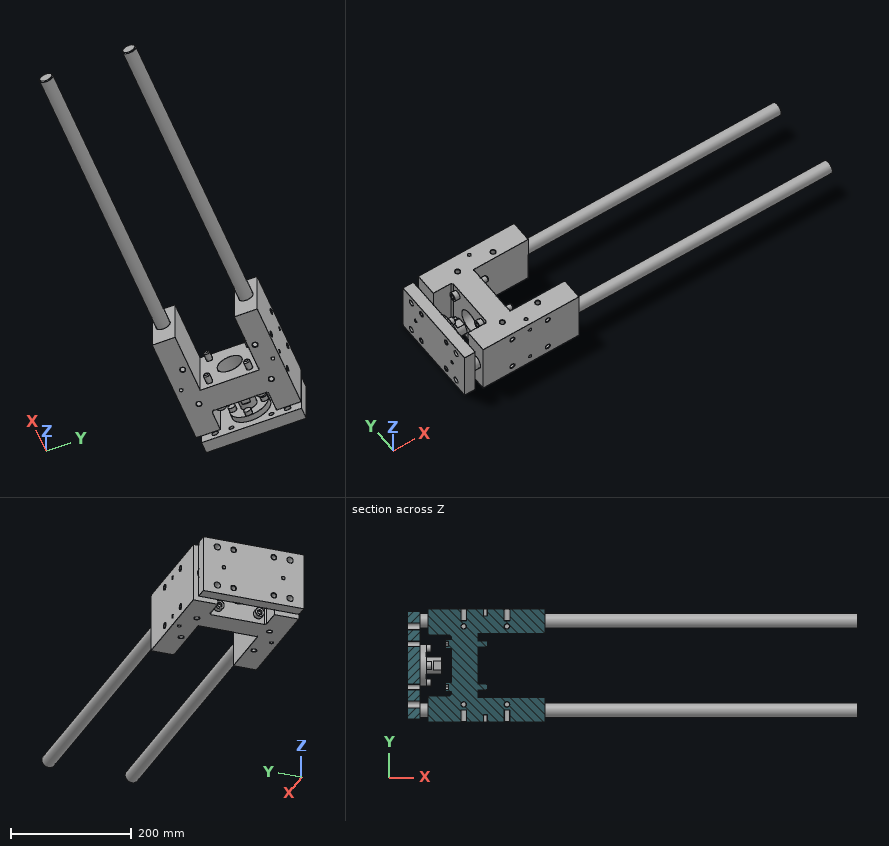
import cadquery as cq


total_length = 751.0
plate_thickness = 21.5
plate_width = 180.0
plate_height = 102.0
plate_clearance_dia = 11.0
plate_clearance_y = 65.0
plate_dowel_y = 53.0
plate_dowel_depth = 10.0

rod_dia = 25.0
rod_y = 74.5
rod_chamfer = 1.5

flange_dia = 70.0
flange_thickness = 10.5
flange_bolt_head_dia = 13.0
flange_bolt_head_height = 8.0
flange_bolt_radius = 28.5
coupling_dia = 29.0
coupling_end_x = 57.5
coupling_flat_length = 14.0
coupling_across_flats = 25.0

housing_x = 34.5
housing_length = 195.0
housing_width = 189.0
housing_height = 105.0
web_front_x = 73.0
web_back_x = 118.0
front_gap_width = 101.0
back_gap_width = 106.0
front_gap_chamfer = 3.0
web_bore_dia = 45.0

screw_dia = 11.0
screw_tip_chamfer = 2.0
screw_protrusion = 16.0
screw_head_dia = 16.0
screw_head_height = 9.5
socket_across_flats = 8.0
socket_depth = 5.0

hole_pitch = 72.0
half_pitch = hole_pitch / 2
pattern_x = 130.0
tapped_dia = 8.5
tapped_mouth_dia = 10.0
tapped_depth = 20.0
dowel_dia = 6.0
dowel_depth = 12.0
housing_tapped_y = 65.0
housing_dowel_y = 82.5


def cylinder(dia, length, start, direction):
    return cq.Workplane(cq.Solid.makeCylinder(dia / 2, length, cq.Vector(*start), cq.Vector(*direction)))


def x_cylinder(dia, x_start, x_end, y=0.0, z=0.0):
    return cylinder(dia, x_end - x_start, (x_start, y, z), (1, 0, 0))


def x_box(x_start, x_end, width, height):
    return cq.Workplane("XY").box(x_end - x_start, width, height).translate(((x_start + x_end) / 2, 0, 0))


def tapped_hole(start, direction, depth):
    """Drilled hole with a countersunk mouth."""
    mouth_depth = (tapped_mouth_dia - tapped_dia) / 2
    mouth = cq.Solid.makeCone(
        tapped_mouth_dia / 2, tapped_dia / 2, mouth_depth, cq.Vector(*start), cq.Vector(*direction)
    )
    return cylinder(tapped_dia, depth, start, direction).union(cq.Workplane(mouth))


def corners(y, z):
    return [(side_y * y, side_z * z) for side_y in (-1, 1) for side_z in (-1, 1)]


def make_slider():
    slider = x_box(0, plate_thickness, plate_width, plate_height)

    for y, z in corners(plate_clearance_y, half_pitch):
        slider = slider.cut(x_cylinder(plate_clearance_dia, 0, plate_thickness, y, z))
    for y, z in corners(half_pitch, half_pitch):
        slider = slider.cut(tapped_hole((0, y, z), (1, 0, 0), plate_thickness))
    for side in (-1, 1):
        slider = slider.cut(x_cylinder(dowel_dia, 0, plate_dowel_depth, side * plate_dowel_y))

    for side in (-1, 1):
        rod = x_cylinder(rod_dia, plate_thickness, total_length, side * rod_y)
        slider = slider.union(rod.faces(">X").chamfer(rod_chamfer))

    flange_end_x = plate_thickness + flange_thickness
    slider = slider.union(x_cylinder(flange_dia, plate_thickness, flange_end_x))
    bolt_places = [
        (flange_bolt_radius, 0),
        (-flange_bolt_radius, 0),
        (0, flange_bolt_radius),
        (0, -flange_bolt_radius),
    ]
    head_end_x = flange_end_x + flange_bolt_head_height
    for y, z in bolt_places:
        slider = slider.union(x_cylinder(flange_bolt_head_dia, flange_end_x, head_end_x, y, z))

    coupling = x_cylinder(coupling_dia, flange_end_x, coupling_end_x)
    flat_start_x = coupling_end_x - coupling_flat_length
    flats = x_box(flat_start_x, coupling_end_x, coupling_dia, coupling_across_flats)
    round_part = x_cylinder(coupling_dia, flange_end_x, flat_start_x)
    coupling = coupling.intersect(flats).union(round_part)
    return slider.union(coupling)


def make_web_screw(y, z):
    """Socket head screw whose head and tip stand out from the web."""
    head_x = web_front_x - screw_head_height
    screw = x_cylinder(screw_dia, web_front_x, web_back_x + screw_protrusion, y, z)
    screw = screw.faces(">X").chamfer(screw_tip_chamfer)
    head = x_cylinder(screw_head_dia, head_x, web_front_x, y, z)
    socket = (
        cq.Workplane("YZ", origin=(head_x, y, z))
        .polygon(6, socket_across_flats, circumscribed=True)
        .extrude(socket_depth)
    )
    return screw.union(head).cut(socket)


def make_housing():
    housing_end_x = housing_x + housing_length
    housing = x_box(housing_x, housing_end_x, housing_width, housing_height)

    front_gap = x_box(housing_x, web_front_x, front_gap_width, housing_height)
    front_gap = front_gap.edges("|Z and >X").chamfer(front_gap_chamfer)
    back_gap = x_box(web_back_x, housing_end_x, back_gap_width, housing_height)
    housing = housing.cut(front_gap).cut(back_gap)

    for side in (-1, 1):
        housing = housing.cut(x_cylinder(rod_dia, housing_x, housing_end_x, side * rod_y))
    housing = housing.cut(x_cylinder(web_bore_dia, web_front_x, web_back_x))

    half_width = housing_width / 2
    half_height = housing_height / 2
    for side_y, side_z in corners(1, 1):
        side_row = (side_y * half_width, side_z * half_pitch)
        for x in (pattern_x - half_pitch, pattern_x + half_pitch):
            housing = housing.cut(tapped_hole((x, *side_row), (0, -side_y, 0), tapped_depth))
            start = (x, side_y * housing_tapped_y, side_z * half_height)
            housing = housing.cut(tapped_hole(start, (0, 0, -side_z), tapped_depth))
        housing = housing.cut(cylinder(dowel_dia, dowel_depth, (pattern_x, *side_row), (0, -side_y, 0)))
        start = (pattern_x, side_y * housing_dowel_y, side_z * half_height)
        housing = housing.cut(cylinder(dowel_dia, dowel_depth, start, (0, 0, -side_z)))

    for y, z in corners(half_pitch, half_pitch):
        housing = housing.union(make_web_screw(y, z))
    return housing


slider = make_slider()
housing = make_housing()
result = cq.Compound.makeCompound([slider.val(), housing.val()])